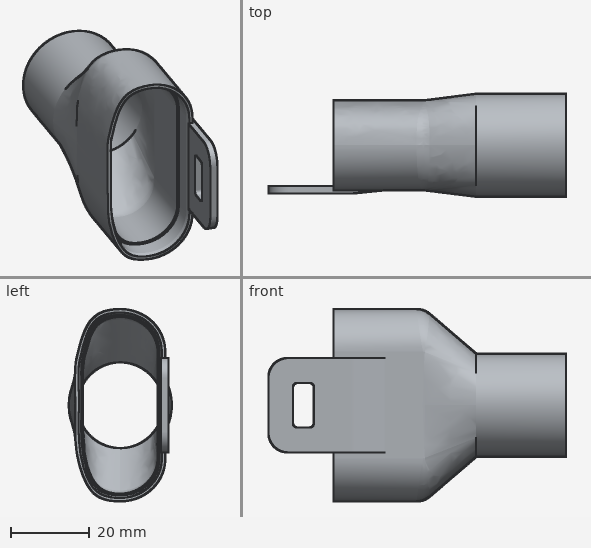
import cadquery as cq
import math

shapes = cq.occ_impl.shapes

tab_end_x = -16.5
mouth_x = 0.0
shoulder_x = 23.0
neck_x = 36.2
spigot_end_x = 59.0

half_width = 11.45
bow_width = 11.4
half_height = 24.4
flat_half_height = 13.5
bow_mid = (8.3, 20.3)
bow_low = (11.0, 12.3)
shoulder_radius = 5.0

blend_samples = 16
blend_steps = 4
sewing_tolerance = 0.001

spigot_radius = 13.085
flat_corner_angle = math.radians(39.6)

wall = 2.0
bore_radius = 10.85
mouth_wall = 0.9
taper_wall = 1.3
ledge_wall = 1.55
mouth_taper_depth = 1.1
socket_depth = 6.0
inner_shoulder_radius = shoulder_radius - wall

tab_half_height = 12.0
tab_outer_y = -12.25
tab_inner_y = -10.3
tab_corner_radius = 5.0
ramp_start_x = 5.0
ramp_end_x = 13.0
ramp_blend_radius = 8.0

slot_length = 5.2
slot_height = 11.2
slot_center_x = -7.6
slot_corner_radius = 1.0


def oval_edges(x, inset):
    """Closed oval at station x, moved inwards by inset."""
    width = half_width - inset
    height = half_height - inset
    diagonal = inset * math.sqrt(0.5)
    mid_y = bow_mid[0] - diagonal
    mid_z = bow_mid[1] - diagonal
    low_y = bow_low[0] - inset
    low_z = bow_low[1]

    flat_bottom = cq.Vector(x, -width, -flat_half_height)
    flat_middle = cq.Vector(x, -width, 0)
    flat_top = cq.Vector(x, -width, flat_half_height)
    crown = cq.Vector(x, 0, height)
    bow = cq.Vector(x, bow_width - inset, 0)
    base = cq.Vector(x, 0, -height)

    rise = height - flat_half_height
    upper_plane = cq.Plane((x, 0, flat_half_height), (0, -1, 0), (-1, 0, 0))
    lower_plane = cq.Plane((x, 0, -flat_half_height), (0, 0, -1), (-1, 0, 0))
    upper_corner = cq.Workplane(upper_plane).ellipseArc(width, rise, 0, 90, startAtCurrent=False).val()
    lower_corner = cq.Workplane(lower_plane).ellipseArc(rise, width, 0, 90, startAtCurrent=False).val()

    upper_bow = cq.Edge.makeSpline(
        [crown, cq.Vector(x, mid_y, mid_z), cq.Vector(x, low_y, low_z), bow],
        tangents=[cq.Vector(0, 1, 0), cq.Vector(0, 0, -1)],
    )
    lower_bow = cq.Edge.makeSpline(
        [bow, cq.Vector(x, low_y, -low_z), cq.Vector(x, mid_y, -mid_z), base],
        tangents=[cq.Vector(0, 0, -1), cq.Vector(0, -1, 0)],
    )
    return [
        cq.Edge.makeLine(flat_middle, flat_top),
        upper_corner,
        upper_bow,
        lower_bow,
        lower_corner,
        cq.Edge.makeLine(flat_bottom, flat_middle),
    ]


def circle_edges(x, radius):
    """Circle at station x, split at the same places as the oval."""
    quarter = math.pi / 2
    upper_angles = [0, flat_corner_angle, quarter, 2 * quarter]
    lower_angles = [3 * quarter, 4 * quarter - flat_corner_angle, 4 * quarter]
    angles = upper_angles + lower_angles

    def point(angle):
        return cq.Vector(x, -radius * math.cos(angle), radius * math.sin(angle))

    edges = []
    for start, end in zip(angles, angles[1:]):
        edges.append(cq.Edge.makeThreePointArc(point(start), point((start + end) / 2), point(end)))
    return edges


def blended_section(oval, circle, blend_radius, step):
    """Closed curve a fraction step of the way through the rounded shoulder.

    Each point runs along a quadratic curve from the body wall, turning at the oval,
    to the straight line that joins the oval to the circle.
    """
    edges = []
    cone_length = neck_x - shoulder_x
    for oval_edge, circle_edge in zip(oval, circle):
        points = []
        for index in range(blend_samples + 1):
            fraction = index / blend_samples
            corner = oval_edge.positionAt(fraction)
            ruling = circle_edge.positionAt(fraction) - corner
            normal = oval_edge.tangentAt(fraction).cross(cq.Vector(1, 0, 0)).normalized()
            turn = math.atan(abs(ruling.dot(normal)) / cone_length)
            reach = blend_radius * math.tan(turn / 2)
            start = corner - cq.Vector(reach, 0, 0)
            end = corner + ruling.normalized() * reach
            points.append(start * (1 - step) ** 2 + corner * (2 * step * (1 - step)) + end * step**2)
        edges.append(cq.Edge.makeSpline(points))
    return edges


def as_wire(edges):
    """Closed wire from edges in order."""
    return cq.Wire.assembleEdges(edges)


def funnel(inset, radius, blend_radius):
    """Solid from the oval mouth through the rounded shoulder to the round end."""
    shoulder = oval_edges(shoulder_x, inset)
    neck = circle_edges(neck_x, radius)
    mouth_wire = as_wire(oval_edges(mouth_x, inset))
    neck_wire = as_wire(neck)
    end_wire = as_wire(circle_edges(spigot_end_x, radius))
    blend_wires = []
    for index in range(blend_steps + 1):
        section = blended_section(shoulder, neck, blend_radius, index / blend_steps)
        blend_wires.append(as_wire(section))

    skins = [
        shapes.face(mouth_wire),
        shapes.loft(mouth_wire, blend_wires[0], ruled=True),
        shapes.loft(*blend_wires),
        shapes.loft(blend_wires[-1], neck_wire, ruled=True),
        shapes.loft(neck_wire, end_wire, ruled=True),
        shapes.face(end_wire),
    ]
    faces = []
    for skin in skins:
        faces.extend(skin.Faces())
    return cq.Workplane(shapes.solid(*faces, tol=sewing_tolerance))


def tab():
    """Hanging tab whose outer face ramps down into the flat of the body."""
    run = ramp_end_x - ramp_start_x
    drop = -half_width - tab_outer_y
    ramp_angle = math.atan2(drop, run)
    reach = ramp_blend_radius * math.tan(ramp_angle / 2)
    blend_end = (ramp_start_x + reach * math.cos(ramp_angle), tab_outer_y + reach * math.sin(ramp_angle))
    side = (
        cq.Workplane("XY", origin=(0, 0, -tab_half_height))
        .moveTo(tab_end_x, tab_outer_y)
        .lineTo(ramp_start_x - reach, tab_outer_y)
        .tangentArcPoint(blend_end, relative=False)
        .lineTo(ramp_end_x, -half_width)
        .lineTo(mouth_x, -half_width)
        .lineTo(mouth_x, tab_inner_y)
        .lineTo(tab_end_x, tab_inner_y)
        .close()
        .extrude(2 * tab_half_height)
        .edges("<X and |Y")
        .fillet(tab_corner_radius)
    )
    slot = (
        cq.Workplane("XZ")
        .center(slot_center_x, 0)
        .rect(slot_length, slot_height)
        .extrude(-2 * tab_outer_y, both=True)
        .edges("|Y")
        .fillet(slot_corner_radius)
    )
    return side.cut(slot)


def mouth_socket():
    """Socket in the mouth: a taper behind the rim, then a drafted wall down to a ledge."""
    sections = [
        oval_edges(mouth_x, mouth_wall),
        oval_edges(mouth_x + mouth_taper_depth, taper_wall),
        oval_edges(mouth_x + socket_depth, ledge_wall),
    ]
    wires = [as_wire(edges) for edges in sections]
    return cq.Workplane(cq.Solid.makeLoft(wires, True))


outside = funnel(0, spigot_radius, shoulder_radius)
cavity = funnel(wall, bore_radius, inner_shoulder_radius)
result = outside.union(tab()).cut(cavity).cut(mouth_socket())